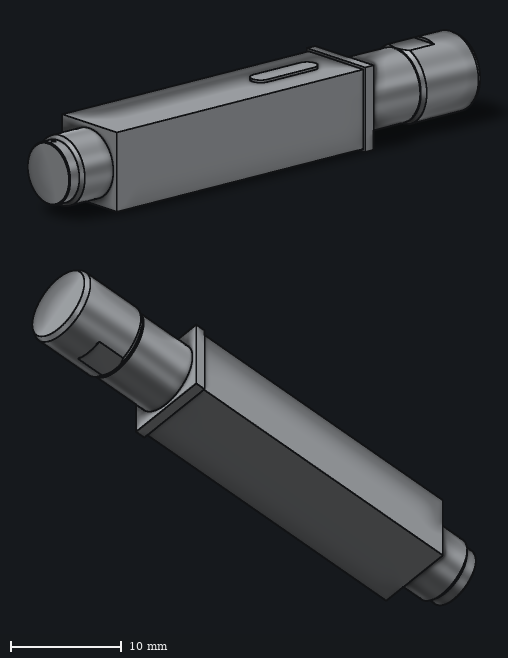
import cadquery as cq
import math

length = 48.9
front_end = -length / 2
rear_end = length / 2

flange_side = 8.0
flange_thickness = 1.05
body_side = 7.55
flange_rear = rear_end - 13.3
flange_front = flange_rear - flange_thickness
body_front = front_end + 4.95

pad_length = 7.55
pad_width = 1.95
pad_gap = 2.5
pad_height = (flange_side - body_side) / 2

nose_diameter = 6.6
nose_end = front_end + 1.5
tip_diameter = 5.85
tip_chamfer = 0.1
nose_chamfer_length = 0.35
tip_hole_diameter = 0.4
tip_hole_depth = 0.5
tip_hole_offset = 0.65

tube_diameter = 7.05
cap_diameter = 7.55
cap_length = 7.15
cap_rear_chamfer_length = 0.5
cap_rear_chamfer_depth = 0.3
cap_front_chamfer_length = 0.45
cap_front_chamfer_depth = 0.3

groove_width = 0.15
groove_depth = 0.15

flat_width = 2.85
flat_height = math.sqrt(cap_diameter**2 - flat_width**2) / 2
flat_cutter_height = cap_diameter / 2
flat_start = 3.75


def square_bar(side, y_front, y_rear):
    """Square bar along Y, centred on the axis."""
    return cq.Workplane("XY").box(side, y_rear - y_front, side).translate((0, (y_front + y_rear) / 2, 0))


def turned(profile):
    """Solid of revolution about Y from (radius, y) points; both ends close on the axis."""
    closed = [(0, profile[0][1])] + profile + [(0, profile[-1][1])]
    return cq.Workplane("XY").polyline(closed).close().revolve(360, (0, 0, 0), (0, 1, 0))


def make_body():
    body = square_bar(body_side, body_front, flange_front)
    return body.union(square_bar(flange_side, flange_front, flange_rear))


def make_pad():
    pad_centre = flange_front - pad_gap - pad_length / 2
    return (
        cq.Workplane("XY")
        .workplane(offset=body_side / 2)
        .center(0, pad_centre)
        .slot2D(pad_length, pad_width, 90)
        .extrude(pad_height)
    )


def make_nose():
    radius = nose_diameter / 2
    tip_radius = tip_diameter / 2
    nose = turned([
        (tip_radius - tip_chamfer, front_end),
        (tip_radius, front_end + tip_chamfer),
        (tip_radius, nose_end - nose_chamfer_length),
        (radius, nose_end),
        (radius, body_front),
    ])
    hole = (
        cq.Workplane("XY")
        .workplane(offset=tip_radius - tip_hole_depth)
        .center(0, front_end + tip_hole_offset)
        .circle(tip_hole_diameter / 2)
        .extrude(2 * tip_hole_depth)
    )
    return nose.cut(hole)


def make_rear():
    radius = cap_diameter / 2
    cap_front = rear_end - cap_length
    rear = turned([
        (tube_diameter / 2, flange_rear),
        (tube_diameter / 2, cap_front - groove_width),
        (tube_diameter / 2 - groove_depth, cap_front - groove_width),
        (tube_diameter / 2 - groove_depth, cap_front),
        (radius - cap_front_chamfer_depth, cap_front),
        (radius, cap_front + cap_front_chamfer_length),
        (radius, rear_end - cap_rear_chamfer_length),
        (radius - cap_rear_chamfer_depth, rear_end),
    ])
    y_middle = (cap_front + rear_end - flat_start) / 2
    for side in (1, -1):
        cutter = cq.Workplane("XY").box(cap_diameter, cap_length - flat_start, flat_cutter_height)
        z_middle = side * (flat_height + flat_cutter_height / 2)
        rear = rear.cut(cutter.translate((0, y_middle, z_middle)))
    return rear


result = make_body().union(make_pad()).union(make_nose()).union(make_rear())